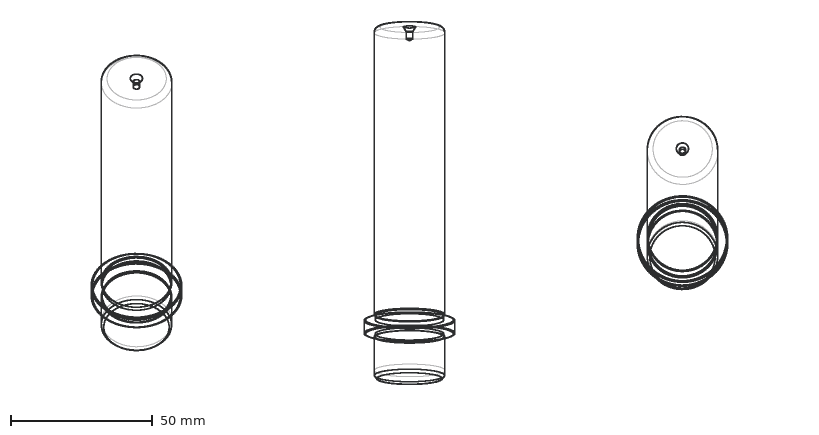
import cadquery as cq
import math

length = 126.0
shaft_radius = 25.0 / 2
nose_fillet = 2.0

collar_radius = 32.0 / 2
collar_bottom = 16.0
collar_height = 5.0
collar_top = collar_bottom + collar_height
collar_chamfer_width = 0.5
collar_chamfer_height = 0.3

groove_radius = 12.1
upper_groove_height = 1.5
lower_groove_height = 1.0
groove_chamfer = shaft_radius - groove_radius

lead_top = 3.0
lead_radius = shaft_radius - 0.06
end_chamfer_height = 1.1
end_chamfer_width = 0.9

countersink_radius = 4.3 / 2
pilot_radius = 2.3 / 2
countersink_half_angle = 30.0
pilot_depth = 2.5
pilot_tip_half_angle = 59.0


def turned_body():
    """Half profile of the pin revolved about Z."""
    shaft_start = collar_top + upper_groove_height
    nose_start = length - nose_fillet
    arc_offset = nose_fillet * math.sqrt(0.5)
    nose_arc_middle = (
        shaft_radius - nose_fillet + arc_offset,
        nose_start + arc_offset,
    )
    profile = (
        cq.Workplane("XZ")
        .lineTo(lead_radius - end_chamfer_width, 0)
        .lineTo(lead_radius, end_chamfer_height)
        .lineTo(shaft_radius, lead_top)
        .lineTo(shaft_radius, collar_bottom - lower_groove_height)
        .lineTo(groove_radius, collar_bottom - lower_groove_height)
        .lineTo(groove_radius, collar_bottom)
        .lineTo(collar_radius - collar_chamfer_width, collar_bottom)
        .lineTo(collar_radius, collar_bottom + collar_chamfer_height)
        .lineTo(collar_radius, collar_top - collar_chamfer_height)
        .lineTo(collar_radius - collar_chamfer_width, collar_top)
        .lineTo(groove_radius, collar_top)
        .lineTo(groove_radius, shaft_start)
        .lineTo(shaft_radius, shaft_start + groove_chamfer)
        .lineTo(shaft_radius, nose_start)
        .threePointArc(nose_arc_middle, (shaft_radius - nose_fillet, length))
        .lineTo(0, length)
        .close()
    )
    return profile.revolve(360, (0, 0, 0), (0, 1, 0))


def centre_hole():
    """Conical countersink leading into a short pilot with a conical tip."""
    half_angle = math.radians(countersink_half_angle)
    cone_depth = (countersink_radius - pilot_radius) / math.tan(half_angle)
    pilot_top = length - cone_depth
    pilot_bottom = pilot_top - pilot_depth
    pilot_tip = pilot_bottom - pilot_radius / math.tan(math.radians(pilot_tip_half_angle))
    profile = (
        cq.Workplane("XZ")
        .moveTo(0, length)
        .lineTo(countersink_radius, length)
        .lineTo(pilot_radius, pilot_top)
        .lineTo(pilot_radius, pilot_bottom)
        .lineTo(0, pilot_tip)
        .close()
    )
    return profile.revolve(360, (0, 0, 0), (0, 1, 0))


result = turned_body().cut(centre_hole())